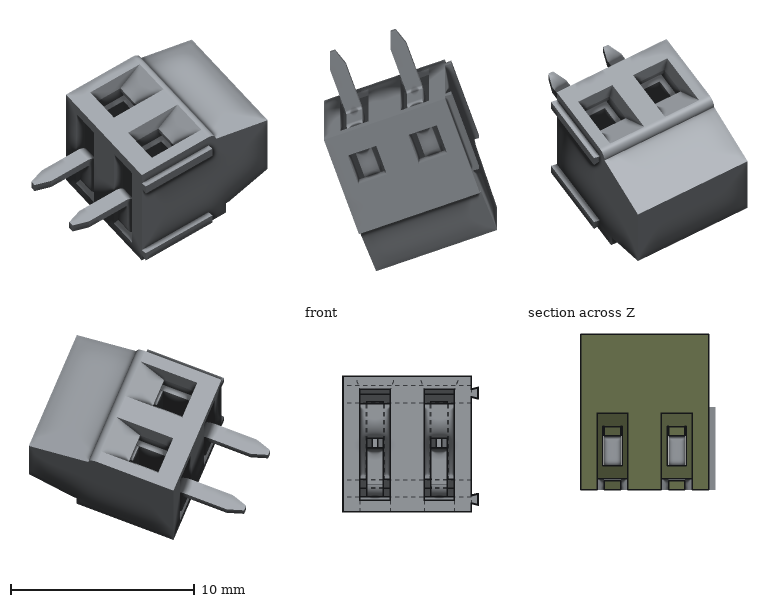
import cadquery as cq


POLES = 2
PITCH = 3.5

housing_width = POLES * PITCH
housing_height = 7.39
housing_depth = 8.5
shoulder_y = 5.0
shoulder_radius = 0.5
upper_back_z = 5.95
lower_back_z = 1.74
foot_y = 5.7
foot_step_z = 0.81
lower_slope_y = 5.89

rib_height = 0.37
rib_root_width = 0.43
rib_tip_width = 0.62
rib_length = shoulder_y - shoulder_radius
rib_centers_z = (0.68, 6.47)

pin_width = 0.9
pin_thickness = 0.52
bend_inner_radius = 0.16
bend_outer_radius = bend_inner_radius + pin_thickness
prong_tip_y = -3.51
prong_taper_length = 0.9
prong_tip_width = 0.3
prong_top_z = 4.0
pin_bottom_z = 0.82
guard_front_y = 2.92
guard_back_y = guard_front_y + pin_thickness
guard_top_z = 6.0

cage_width = 1.65
cage_side_wall = 0.32
cage_front_y = 0.6
cage_inner_front_y = 1.33
cage_end_wall = cage_inner_front_y - cage_front_y
cage_back_y = guard_back_y + cage_end_wall
cage_bottom_z = 1.77
cage_top_z = 5.9
cage_bore_width = cage_width - 2 * cage_side_wall

cavity_floor_z = pin_bottom_z
ledge_z = 1.29
cavity_ceiling_z = 6.41
throat_front_y = 1.28
throat_back_y = 3.0
funnel_front_y = 1.16
funnel_back_y = rib_length
funnel_width = 2.18
slot_bottom_z = 0.64
slot_top_z = 6.67
funnel_bottom_z = slot_top_z


def pole_x(index):
    return (index - (POLES - 1) / 2) * PITCH


def box(x_width, y_min, y_max, z_min, z_max):
    """Box centered on X = 0."""
    return cq.Workplane("XY").box(
        x_width, y_max - y_min, z_max - z_min, centered=(True, False, False)
    ).translate((0, y_min, z_min))


def yz_sketch(width):
    """YZ workplane from which a symmetric extrusion of `width` starts."""
    return cq.Workplane("YZ", origin=(-width / 2, 0, 0))


def make_shell():
    upper_slope_end_z = housing_height - shoulder_radius
    diagonal = shoulder_radius * 0.5 ** 0.5
    arc_center_y = shoulder_y - shoulder_radius
    return (
        yz_sketch(housing_width)
        .moveTo(0, 0)
        .lineTo(foot_y, 0)
        .lineTo(foot_y, foot_step_z)
        .lineTo(lower_slope_y, foot_step_z)
        .lineTo(housing_depth, lower_back_z)
        .lineTo(housing_depth, upper_back_z)
        .lineTo(shoulder_y, upper_slope_end_z)
        .threePointArc(
            (arc_center_y + diagonal, upper_slope_end_z + diagonal),
            (arc_center_y, housing_height),
        )
        .lineTo(0, housing_height)
        .close()
        .extrude(housing_width)
    )


def make_rib(center_z):
    root_x = housing_width / 2
    tip_x = root_x + rib_height
    return (
        cq.Workplane("XZ")
        .moveTo(root_x, center_z - rib_root_width / 2)
        .lineTo(tip_x, center_z - rib_tip_width / 2)
        .lineTo(tip_x, center_z + rib_tip_width / 2)
        .lineTo(root_x, center_z + rib_root_width / 2)
        .close()
        .extrude(-rib_length)
    )


def make_funnel():
    """Wire entry that narrows from the top face down to the throat."""
    funnel_middle_y = (funnel_front_y + funnel_back_y) / 2
    throat_middle_y = (throat_front_y + throat_back_y) / 2
    return (
        cq.Workplane("XY", origin=(0, funnel_middle_y, housing_height))
        .rect(funnel_width, funnel_back_y - funnel_front_y)
        .workplane(offset=funnel_bottom_z - housing_height)
        .center(0, throat_middle_y - funnel_middle_y)
        .rect(cage_width, throat_back_y - throat_front_y)
        .loft(ruled=True)
    )


def make_slot_flare():
    """Slot in the seating face, with a 45 degree top chamfer and a gently sloping floor."""
    chamfer = slot_top_z - cavity_ceiling_z
    return (
        yz_sketch(cage_width)
        .moveTo(0, slot_bottom_z)
        .lineTo(cage_front_y, cavity_floor_z)
        .lineTo(cage_front_y, cavity_ceiling_z)
        .lineTo(chamfer, cavity_ceiling_z)
        .lineTo(0, slot_top_z)
        .close()
        .extrude(cage_width)
    )


def make_pole_openings():
    cage_room = box(cage_width, cage_front_y, cage_back_y, ledge_z, cavity_ceiling_z)
    pin_room = box(cage_width, cage_front_y, guard_back_y, cavity_floor_z, ledge_z)
    throat = box(cage_width, throat_front_y, throat_back_y, cavity_ceiling_z, funnel_bottom_z)
    floor_window = box(cage_width, throat_front_y, throat_back_y, 0, cavity_floor_z)
    openings = make_slot_flare()
    for opening in (cage_room, pin_room, floor_window, throat, make_funnel()):
        openings = openings.union(opening)
    return openings


def make_housing():
    housing = make_shell()
    for center_z in rib_centers_z:
        housing = housing.union(make_rib(center_z))
    for index in range(POLES):
        housing = housing.cut(make_pole_openings().translate((pole_x(index), 0, 0)))
    return housing


def make_pin():
    """Strip bent into a prong, a leg in the slot, a base and a guard leg in the cage."""
    prong_bottom_z = prong_top_z - pin_thickness
    base_top_z = pin_bottom_z + pin_thickness
    strip = (
        yz_sketch(pin_width)
        .moveTo(prong_tip_y, prong_bottom_z)
        .lineTo(-bend_inner_radius, prong_bottom_z)
        .radiusArc((0, prong_bottom_z - bend_inner_radius), bend_inner_radius)
        .lineTo(0, pin_bottom_z + bend_outer_radius)
        .radiusArc((bend_outer_radius, pin_bottom_z), -bend_outer_radius)
        .lineTo(guard_back_y - bend_outer_radius, pin_bottom_z)
        .radiusArc((guard_back_y, pin_bottom_z + bend_outer_radius), -bend_outer_radius)
        .lineTo(guard_back_y, guard_top_z)
        .lineTo(guard_front_y, guard_top_z)
        .lineTo(guard_front_y, base_top_z + bend_inner_radius)
        .radiusArc((guard_front_y - bend_inner_radius, base_top_z), bend_inner_radius)
        .lineTo(bend_outer_radius, base_top_z)
        .radiusArc((pin_thickness, base_top_z + bend_inner_radius), bend_inner_radius)
        .lineTo(pin_thickness, prong_top_z - bend_outer_radius)
        .radiusArc((-bend_inner_radius, prong_top_z), -bend_outer_radius)
        .lineTo(prong_tip_y, prong_top_z)
        .close()
        .extrude(pin_width)
    )
    taper_start_y = prong_tip_y + prong_taper_length
    tip_outline = (
        cq.Workplane("XY")
        .moveTo(-prong_tip_width / 2, prong_tip_y)
        .lineTo(prong_tip_width / 2, prong_tip_y)
        .lineTo(pin_width / 2, taper_start_y)
        .lineTo(pin_width / 2, guard_back_y)
        .lineTo(-pin_width / 2, guard_back_y)
        .lineTo(-pin_width / 2, taper_start_y)
        .close()
        .extrude(housing_height)
    )
    return strip.intersect(tip_outline)


def make_cage():
    tube = box(cage_width, cage_front_y, cage_back_y, cage_bottom_z, cage_top_z)
    bore = box(cage_bore_width, cage_inner_front_y, guard_back_y, cage_bottom_z, cage_top_z)
    return tube.cut(bore)


housing = make_housing()
bodies = [*housing.solids().vals()]
for index in range(POLES):
    offset = (pole_x(index), 0, 0)
    bodies.extend(make_pin().translate(offset).solids().vals())
    bodies.extend(make_cage().translate(offset).solids().vals())

result = cq.Compound.makeCompound(bodies)